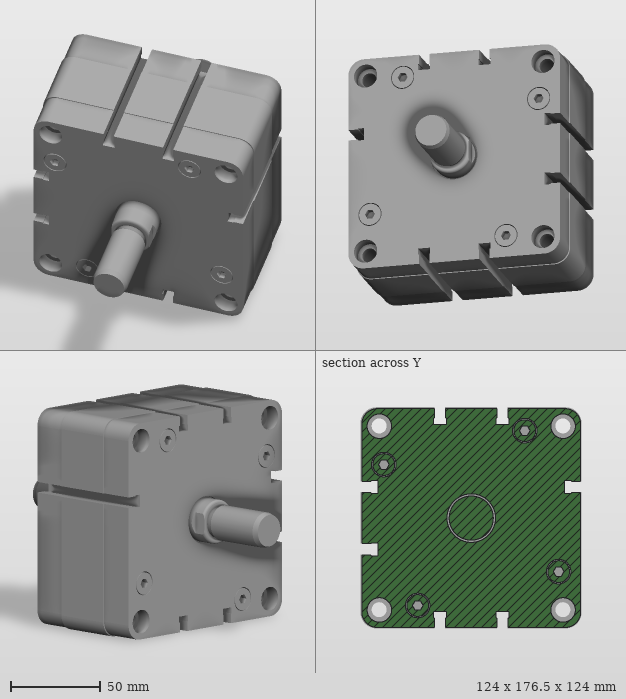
import cadquery as cq
import math


barrel_side = 124.0
cap_side = 123.0
barrel_length = 33.0
cap_length = 19.25
corner_radius = 9.0
housing_length = barrel_length + 2 * cap_length
cap_face = housing_length / 2

slot_offset = 17.5
slot_mouth_width = 6.0
slot_floor_width = 7.0
slot_floor_height = 3.5
slot_floor_position = 52.5
slot_depth = barrel_side / 2 - slot_floor_position

mount_offset = 51.5
mount_hole_diameter = 8.38
mount_bore_diameter = 13.5
mount_bore_depth = 8.5

screw_near = 30.0
screw_far = 49.0
screw_positions = [
    (-screw_far, screw_near),
    (screw_near, screw_far),
    (screw_far, -screw_near),
    (-screw_near, -screw_far),
]
screw_bore_diameter = 13.5
screw_head_diameter = 12.5
screw_head_height = 5.0
hex_across_corners = 5.77
hex_depth = 4.0

rod_diameter = 25.0
rod_recess_diameter = 27.0
rod_recess_depth = 1.5
rod_edge_radius = 1.5
front_shoulder_length = 15.0
rear_shoulder_length = 10.0
stud_diameter = 20.0
stud_length = 40.0
stud_tip_chamfer_radial = 1.0
stud_tip_chamfer_length = 3.25
neck_diameter = 17.5
neck_length = 3.5
stud_shoulder_chamfer_length = 0.5
flats_width = 22.0
flats_length = 7.0


def on_cap_face(points):
    """Workplane on the front cap face with local X, Y along world X, Z, at the given points."""
    return cq.Workplane("XZ", origin=(0, -cap_face, 0)).pushPoints(points)


def rounded_block(side, length):
    """Square bar centred on the origin along Y with rounded long edges."""
    return cq.Workplane("XY").box(side, length, side).edges("|Y").fillet(corner_radius)


def slot_cutter(offset, turn):
    """Full-length stepped slot in the top side, then turned about Y to its own side."""
    mouth = cq.Workplane("XY").box(
        slot_mouth_width, housing_length, slot_depth, centered=(True, True, False)
    )
    floor = cq.Workplane("XY").box(
        slot_floor_width, housing_length, slot_floor_height, centered=(True, True, False)
    )
    cutter = mouth.union(floor).translate((offset, 0, slot_floor_position))
    return cutter.rotate((0, 0, 0), (0, 1, 0), turn)


def cut_slots(body):
    """Two slots on the top, bottom and -X sides, and only the upper one on +X."""
    top, right, bottom, left = 0, 90, 180, 270
    pair = (-slot_offset, slot_offset)
    for turn, offsets in ((top, pair), (bottom, pair), (left, pair), (right, (-slot_offset,))):
        for offset in offsets:
            body = body.cut(slot_cutter(offset, turn))
    return body


def both_ends(front):
    """A front-end feature together with its mirror image at the rear end."""
    return front.union(front.mirror("XZ"))


def cut_mounting_holes(body):
    """Through holes in the four corners, counterbored at both ends."""
    corners = [(x, z) for x in (-mount_offset, mount_offset) for z in (-mount_offset, mount_offset)]
    holes = on_cap_face(corners).circle(mount_hole_diameter / 2).extrude(-housing_length)
    bores = on_cap_face(corners).circle(mount_bore_diameter / 2).extrude(-mount_bore_depth)
    return body.cut(holes).cut(both_ends(bores))


def cut_cap_screws(body):
    """Ring gap around each flush screw head and its hexagon socket, at both ends."""
    gaps = (
        on_cap_face(screw_positions)
        .circle(screw_bore_diameter / 2)
        .circle(screw_head_diameter / 2)
        .extrude(-screw_head_height)
    )
    sockets = on_cap_face(screw_positions).polygon(6, hex_across_corners).extrude(-hex_depth)
    return body.cut(both_ends(gaps)).cut(both_ends(sockets))


def cut_rod_recesses(body):
    """Shallow recess around the rod in both caps."""
    recess = on_cap_face([(0, 0)]).circle(rod_recess_diameter / 2).extrude(-rod_recess_depth)
    return body.cut(both_ends(recess))


def rod_end(shoulder_length):
    """Half of the rod, from the housing centre toward +Y, ending in the stud."""
    rod_radius = rod_diameter / 2
    stud_radius = stud_diameter / 2
    neck_radius = neck_diameter / 2
    shoulder = cap_face + shoulder_length
    stud_start = shoulder + neck_length
    tip = shoulder + stud_length
    edge_sagitta = rod_edge_radius * (1 - math.sqrt(0.5))
    profile = (
        cq.Workplane("XY")
        .lineTo(rod_radius, 0)
        .lineTo(rod_radius, shoulder - rod_edge_radius)
        .threePointArc(
            (rod_radius - edge_sagitta, shoulder - edge_sagitta),
            (rod_radius - rod_edge_radius, shoulder),
        )
        .lineTo(neck_radius, shoulder)
        .lineTo(neck_radius, stud_start)
        .lineTo(stud_radius, stud_start + stud_shoulder_chamfer_length)
        .lineTo(stud_radius, tip - stud_tip_chamfer_length)
        .lineTo(stud_radius - stud_tip_chamfer_radial, tip)
        .lineTo(0, tip)
        .close()
    )
    rod = profile.revolve(360, (0, 0, 0), (0, 1, 0))
    return rod.cut(flats_cutter(shoulder))


def flats_cutter(shoulder):
    """Two wrench flats facing +X and -X, each running out at 45 degrees."""
    flat = flats_width / 2
    outside = rod_diameter / 2
    flat_start = shoulder - flats_length
    profile = [
        (flat, shoulder),
        (flat, flat_start),
        (outside, flat_start - (outside - flat)),
        (outside, shoulder),
    ]
    one_side = cq.Workplane("XY").polyline(profile).close().extrude(rod_diameter / 2, both=True)
    return one_side.union(one_side.mirror("YZ"))


housing = rounded_block(barrel_side, barrel_length).union(rounded_block(cap_side, housing_length))
housing = cut_slots(housing)
housing = cut_mounting_holes(housing)
housing = cut_cap_screws(housing)
housing = cut_rod_recesses(housing)

rear_rod = rod_end(rear_shoulder_length)
front_rod = rod_end(front_shoulder_length).mirror("XZ")

result = housing.union(rear_rod).union(front_rod)